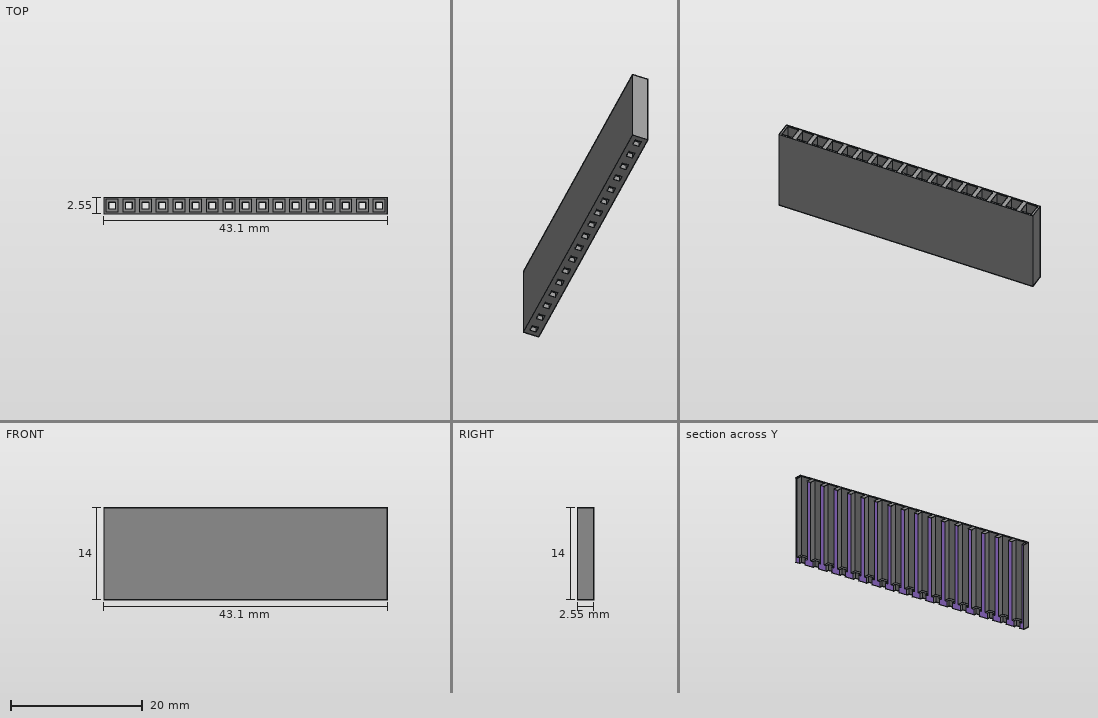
import cadquery as cq

length = 43.1
thickness = 2.55
height = 14.0
position_count = 17
cavity_width = 1.8
cavity_depth = 2.0
pin_hole_side = 1.0
floor_thickness = 1.0

pitch = length / position_count


def cell_centres():
    """Centres of the equally spaced positions along the row."""
    first = -pitch * (position_count - 1) / 2
    return [(first + index * pitch, 0) for index in range(position_count)]


def square_bores(size_x, size_y, bottom):
    """Rectangular bores at every position, open at the top of the housing."""
    return (
        cq.Workplane("XY")
        .workplane(offset=bottom)
        .pushPoints(cell_centres())
        .rect(size_x, size_y)
        .extrude(height - bottom)
    )


housing = cq.Workplane("XY").box(length, thickness, height, centered=(True, True, False))

cavities = square_bores(cavity_width, cavity_depth, floor_thickness)
pin_holes = square_bores(pin_hole_side, pin_hole_side, 0)

result = housing.cut(cavities).cut(pin_holes)